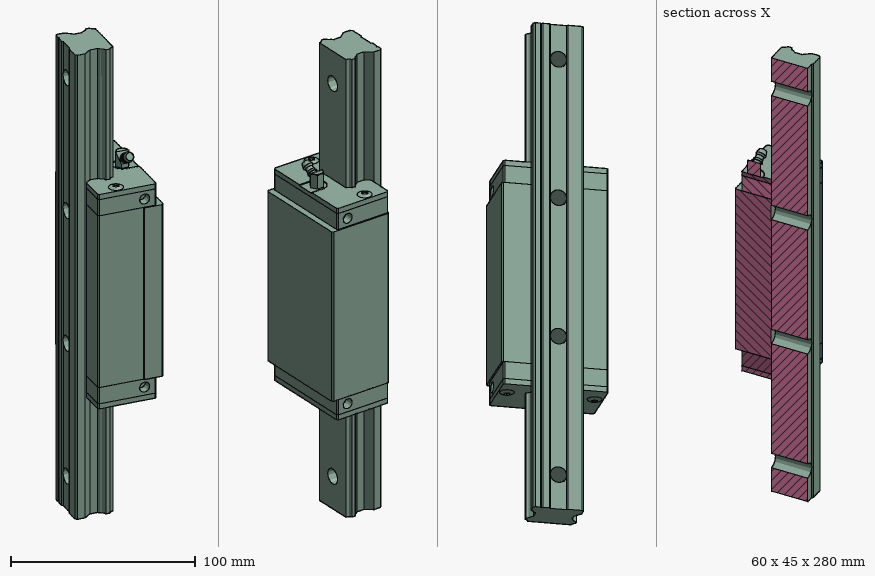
import cadquery as cq
import math


OVERLAP = 0.3

RAIL_LENGTH = 280.0
RAIL_HALF_WIDTH = 14.0
RAIL_HEIGHT = 23.0
RAIL_TOP_HALF_WIDTH = 12.0
HEAD_TOP_Y = 20.2
HEAD_BOTTOM_Y = 18.0
RACEWAY_SAG = 0.35
TRACK_BOTTOM_X = 11.8
TRACK_BOTTOM_Y = 15.7
WEB_HALF_WIDTH = 10.5
WEB_TOP_Y = 14.3
WEB_BOTTOM_Y = 9.8
FOOT_TOP_Y = 5.5
FOOT_CHAMFER = 1.0
RAIL_HOLE_DIAMETER = 9.0
RAIL_HOLE_PITCH = 80.0
RAIL_HOLE_COUNT = 4
RELIEF_HALF_WIDTH = 5.0
RELIEF_DEPTH = 0.7
MARK_GROOVE_X = -9.5
MARK_GROOVE_WIDTH = 1.5
MARK_GROOVE_DEPTH = 0.5

BLOCK_LENGTH = 103.5
CAP_LENGTH = 9.8
SEAL_LENGTH = 3.0
CARRIAGE_CENTER_Z = -3.0
BLOCK_HALF_WIDTH = 30.0
BLOCK_TOP_Y = 45.0
STEP_Y = 33.5
CAP_HALF_WIDTH = 29.0
CAP_TOP_Y = 41.2
CARRIAGE_BOTTOM_Y = 6.7
EDGE_CHAMFER = 0.92

PORT_DIAMETER = 6.0
PORT_DEPTH = 5.5
PORT_Y = 34.2

SCREW_X = 24.5
SCREW_Y = 19.3
SCREW_DIAMETER = 8.0
SCREW_HEIGHT = 1.0
SOCKET_DIAMETER = 3.5
SOCKET_DEPTH = 0.8

NIPPLE_Y = 33.5
SEAT_WIDTH = 11.2
SEAT_DEPTH = 0.5
HEX_CORNER_DIAMETER = 8.0
HEX_HEIGHT = 8.7
HEX_TOP_DIAMETER = 6.7
FITTING_ELEVATION = 30.0
FITTING_DROP = 4.2
NECK_DIAMETER = 4.5
COLLAR_DIAMETER = 5.5
HEAD_DIAMETER = 6.0
TIP_DIAMETER = 4.5
COLLAR_START = 2.2
COLLAR_END = 3.5
HEAD_START = 5.5
HEAD_MIDDLE = 6.7
TIP_END = 9.5

block_bottom_z = CARRIAGE_CENTER_Z - BLOCK_LENGTH / 2
block_top_z = CARRIAGE_CENTER_Z + BLOCK_LENGTH / 2


def raceway_point(start, end):
    """Middle point of a concave track, set towards the inside of the rail."""
    dx = end[0] - start[0]
    dy = end[1] - start[1]
    chord = math.hypot(dx, dy)
    middle_x = (start[0] + end[0]) / 2
    middle_y = (start[1] + end[1]) / 2
    return middle_x - RACEWAY_SAG * dy / chord, middle_y + RACEWAY_SAG * dx / chord


def rail_bar(length):
    """Bar with the rail's outline, centred on Z = 0."""
    foot = (RAIL_HALF_WIDTH, FOOT_TOP_Y)
    web_bottom = (WEB_HALF_WIDTH, WEB_BOTTOM_Y)
    web_top = (WEB_HALF_WIDTH, WEB_TOP_Y)
    track_bottom = (TRACK_BOTTOM_X, TRACK_BOTTOM_Y)
    head_bottom = (RAIL_HALF_WIDTH, HEAD_BOTTOM_Y)
    head_top = (RAIL_HALF_WIDTH, HEAD_TOP_Y)
    top = (RAIL_TOP_HALF_WIDTH, RAIL_HEIGHT)
    half = (
        cq.Workplane("XY")
        .moveTo(0, 0)
        .lineTo(RAIL_HALF_WIDTH - FOOT_CHAMFER, 0)
        .lineTo(RAIL_HALF_WIDTH, FOOT_CHAMFER)
        .lineTo(*foot)
        .lineTo(*web_bottom)
        .lineTo(*web_top)
        .lineTo(*track_bottom)
        .threePointArc(raceway_point(track_bottom, head_bottom), head_bottom)
        .lineTo(*head_top)
        .threePointArc(raceway_point(head_top, top), top)
        .lineTo(0, RAIL_HEIGHT)
        .close()
        .extrude(length / 2, both=True)
    )
    return half.union(half.mirror("YZ")).clean()


def make_rail():
    rail = rail_bar(RAIL_LENGTH)
    relief = (
        cq.Workplane("XY")
        .polyline([
            (-RELIEF_HALF_WIDTH, 0),
            (-RELIEF_HALF_WIDTH + RELIEF_DEPTH, RELIEF_DEPTH),
            (RELIEF_HALF_WIDTH - RELIEF_DEPTH, RELIEF_DEPTH),
            (RELIEF_HALF_WIDTH, 0),
        ])
        .close()
        .extrude(RAIL_LENGTH / 2, both=True)
    )
    mark_groove = (
        cq.Workplane("XY")
        .polyline([
            (MARK_GROOVE_X - MARK_GROOVE_WIDTH / 2, 0),
            (MARK_GROOVE_X, MARK_GROOVE_DEPTH),
            (MARK_GROOVE_X + MARK_GROOVE_WIDTH / 2, 0),
        ])
        .close()
        .extrude(RAIL_LENGTH / 2, both=True)
    )
    holes = (
        cq.Workplane("XZ")
        .rarray(2.8, RAIL_HOLE_PITCH, 1, RAIL_HOLE_COUNT)
        .circle(RAIL_HOLE_DIAMETER / 2)
        .extrude(-RAIL_HEIGHT)
    )
    return rail.cut(relief).cut(mark_groove).cut(holes)


channel = rail_bar(RAIL_LENGTH)


def slab(half_width, top_y, start_z, length):
    """Rectangular slab with chamfered long edges, before the channel is cut."""
    return (
        cq.Workplane("XY")
        .box(2 * half_width, top_y - CARRIAGE_BOTTOM_Y, length)
        .edges("|Z")
        .chamfer(EDGE_CHAMFER)
        .translate((0, (top_y + CARRIAGE_BOTTOM_Y) / 2, start_z + length / 2))
    )


def make_block():
    setback = BLOCK_HALF_WIDTH - CAP_HALF_WIDTH
    full = slab(BLOCK_HALF_WIDTH, BLOCK_TOP_Y, block_bottom_z, BLOCK_LENGTH)
    narrow = slab(BLOCK_HALF_WIDTH - setback / 2, BLOCK_TOP_Y, block_bottom_z, BLOCK_LENGTH)
    narrow = narrow.translate((-setback / 2, 0, 0))
    above_step = (
        cq.Workplane("XY")
        .box(2 * BLOCK_HALF_WIDTH, BLOCK_TOP_Y - STEP_Y, BLOCK_LENGTH)
        .translate((0, (BLOCK_TOP_Y + STEP_Y) / 2, CARRIAGE_CENTER_Z))
    )
    return narrow.union(full.intersect(above_step)).cut(channel)


def make_cap(start_z):
    port_z = start_z + CAP_LENGTH / 2
    cap = slab(CAP_HALF_WIDTH, CAP_TOP_Y, start_z, CAP_LENGTH).cut(channel)
    for side in (-1, 1):
        port = (
            cq.Workplane("YZ", origin=(side * CAP_HALF_WIDTH, PORT_Y, port_z))
            .circle(PORT_DIAMETER / 2)
            .extrude(-side * PORT_DEPTH)
        )
        cap = cap.cut(port)
    return cap


def screw_head(x, face_z, direction):
    """Domed head on a seal face; direction is +1 or -1 along Z."""
    base_radius = SCREW_DIAMETER / 2
    socket_radius = SOCKET_DIAMETER / 2
    center = (base_radius**2 - socket_radius**2 - SCREW_HEIGHT**2) / (2 * SCREW_HEIGHT)
    radius = math.hypot(base_radius, center)
    middle_height = SCREW_HEIGHT / 2
    middle = (math.sqrt(radius**2 - (middle_height + center) ** 2), middle_height)
    head = (
        cq.Workplane("XZ")
        .moveTo(0, -OVERLAP)
        .lineTo(base_radius, -OVERLAP)
        .lineTo(base_radius, 0)
        .threePointArc(middle, (socket_radius, SCREW_HEIGHT))
        .lineTo(0, SCREW_HEIGHT)
        .close()
        .revolve(360, (0, 0), (0, 1))
    )
    socket = (
        cq.Workplane("XY", origin=(0, 0, SCREW_HEIGHT))
        .circle(socket_radius)
        .extrude(-SOCKET_DEPTH)
    )
    head = head.cut(socket)
    if direction < 0:
        head = head.mirror("XY")
    return head.translate((x, SCREW_Y, face_z))


def nipple_seat(face_z):
    """Shallow U-shaped recess, open at the top of the seal."""
    round_end = cq.Workplane("XY").center(0, NIPPLE_Y).circle(SEAT_WIDTH / 2).extrude(-SEAT_DEPTH)
    straight = (
        cq.Workplane("XY")
        .center(0, (NIPPLE_Y + CAP_TOP_Y) / 2)
        .rect(SEAT_WIDTH, CAP_TOP_Y - NIPPLE_Y)
        .extrude(-SEAT_DEPTH)
    )
    return round_end.union(straight).translate((0, 0, face_z))


def make_seal(inner_z, direction):
    """Seal plate that runs from inner_z outwards, with its two screw heads."""
    face_z = inner_z + direction * SEAL_LENGTH
    seal = slab(CAP_HALF_WIDTH, CAP_TOP_Y, min(inner_z, face_z), SEAL_LENGTH).cut(channel)
    for side in (-1, 1):
        seal = seal.union(screw_head(side * SCREW_X, face_z, direction))
    return seal


def make_nipple(seat_z):
    """Hexagonal body standing on seat_z, with an angled fitting that leans towards +X."""
    hexagon = (
        cq.Workplane("XY")
        .polygon(6, HEX_CORNER_DIAMETER)
        .extrude(HEX_HEIGHT)
        .rotate((0, 0, 0), (0, 0, 1), 90)
    )
    corner_radius = HEX_CORNER_DIAMETER / 2
    top_radius = HEX_TOP_DIAMETER / 2
    rounding = (
        cq.Workplane("XZ")
        .polyline([
            (0, 0),
            (corner_radius, 0),
            (corner_radius, HEX_HEIGHT - (corner_radius - top_radius)),
            (top_radius, HEX_HEIGHT),
            (0, HEX_HEIGHT),
        ])
        .close()
        .revolve(360, (0, 0), (0, 1))
    )
    elevation = math.radians(FITTING_ELEVATION)
    fitting_plane = cq.Plane(
        origin=(
            FITTING_DROP * math.sin(elevation),
            0,
            HEX_HEIGHT - FITTING_DROP * math.cos(elevation),
        ),
        xDir=(0, 1, 0),
        normal=(math.cos(elevation), 0, math.sin(elevation)),
    )
    beyond_face = (
        cq.Workplane(fitting_plane).rect(4 * HEX_HEIGHT, 4 * HEX_HEIGHT).extrude(HEX_HEIGHT)
    )
    body = hexagon.intersect(rounding).cut(beyond_face)
    axis_plane = cq.Plane(
        origin=fitting_plane.origin, xDir=(0, 1, 0), normal=fitting_plane.yDir.multiply(-1)
    )
    neck_radius = NECK_DIAMETER / 2
    fitting = (
        cq.Workplane(axis_plane)
        .polyline([
            (0, -OVERLAP),
            (neck_radius, -OVERLAP),
            (neck_radius, COLLAR_START),
            (COLLAR_DIAMETER / 2, COLLAR_START),
            (neck_radius, COLLAR_END),
            (neck_radius, HEAD_START),
            (HEAD_DIAMETER / 2, HEAD_MIDDLE),
            (TIP_DIAMETER / 2, TIP_END),
            (0, TIP_END),
        ])
        .close()
        .revolve(360, (0, 0), (0, 1))
    )
    return body.union(fitting).translate((0, NIPPLE_Y, seat_z))


rail = make_rail()
block = make_block()
caps = [make_cap(block_bottom_z - CAP_LENGTH), make_cap(block_top_z)]

upper_seal_z = block_top_z + CAP_LENGTH
upper_face_z = upper_seal_z + SEAL_LENGTH
lower_seal = make_seal(block_bottom_z - CAP_LENGTH, -1)
upper_seal = make_seal(upper_seal_z, 1).cut(nipple_seat(upper_face_z))
nipple = make_nipple(upper_face_z - SEAT_DEPTH)

result = cq.Compound.makeCompound([
    rail.val(),
    block.val(),
    *[cap.val() for cap in caps],
    lower_seal.val(),
    upper_seal.val(),
    nipple.val(),
])